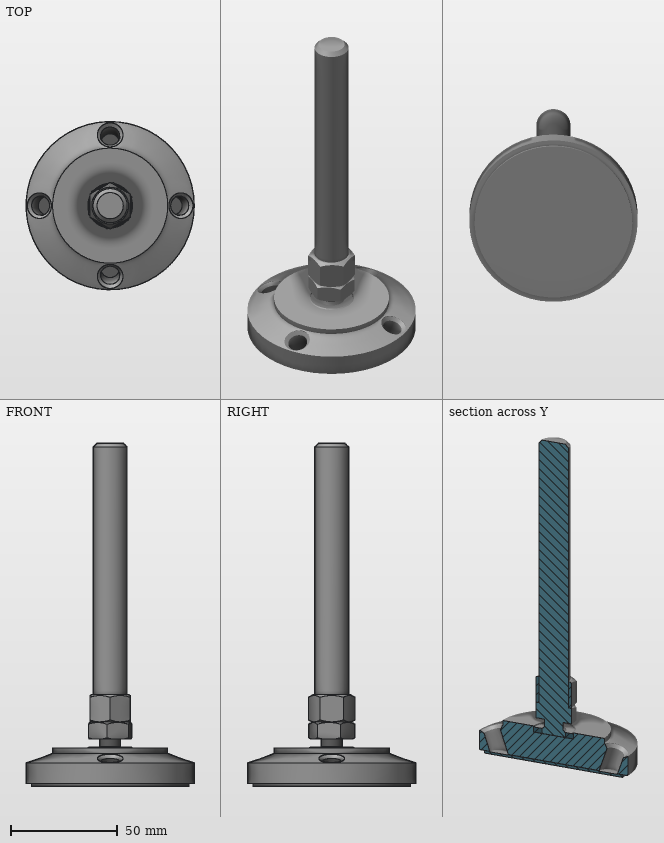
import cadquery as cq
import math

foot_diameter = 79
foot_bottom = 1.3
rim_top = 11
cone_top = 15.5
foot_top = 18.05
crown_diameter = 54
cone_width = (foot_diameter - crown_diameter) / 2
cone_angle = math.degrees(math.atan2(cone_top - rim_top, cone_width))

hole_count = 4
hole_diameter = 9
countersink_diameter = 12
countersink_rim_depth = 0.3
countersink_depth = countersink_rim_depth + (countersink_diameter - hole_diameter) / 2
hole_radius = (foot_diameter + crown_diameter) / 4
hole_height = (rim_top + cone_top) / 2
hole_length = 30

pad_diameter = 74

rod_diameter = 16
rod_top = 161.03
rod_tip_chamfer = 1.85
pin_diameter = 9.9
flare_diameter = 12.2
flare_top = 18.7
hex_bottom = 22.1
hex_height = 8
hex_turn = -8

ring_diameter = 21
ring_lip_diameter = 20
ring_lip_rise = 0.3
ring_bottom = foot_top - 3
ring_floor = flare_top - (flare_diameter - pin_diameter) / 2

nut_height = 13
nut_bottom = hex_bottom + hex_height
nut_top = nut_bottom + nut_height

across_flats = 19
corner_radius = across_flats / 2 / math.cos(math.radians(30))
chamfer_angle = 30
hex_bottom_face = 19.5
joint_face = 18.5
nut_top_face = 17.3


def cylinder(diameter, bottom, top):
    return cq.Workplane("XY").workplane(offset=bottom).circle(diameter / 2).extrude(top - bottom)


def revolved(points):
    """Solid of revolution about Z from an outline of (radius, height) points."""
    return cq.Workplane("XZ").polyline(points).close().revolve(360, (0, 0, 0), (0, 1, 0))


def chamfered_hex(bottom, top, bottom_face, top_face, turn=0):
    """Hexagon with corners on Y when turn is 0 and a conical chamfer at each end."""

    def chamfer_drop(face_diameter):
        return (corner_radius - face_diameter / 2) * math.tan(math.radians(chamfer_angle))

    prism = (
        cq.Workplane("XY")
        .workplane(offset=bottom)
        .polygon(6, 2 * corner_radius)
        .extrude(top - bottom)
        .rotate((0, 0, 0), (0, 0, 1), 90 + turn)
    )
    envelope = revolved([
        (0, bottom),
        (bottom_face / 2, bottom),
        (corner_radius, bottom + chamfer_drop(bottom_face)),
        (corner_radius, top - chamfer_drop(top_face)),
        (top_face / 2, top),
        (0, top),
    ])
    return prism.intersect(envelope)


def fixing_hole(angle):
    """Countersunk hole tilted square to the cone, at the given angle around Z."""
    bore = cylinder(hole_diameter, -hole_length, hole_length)
    sink = revolved([
        (0, -countersink_depth),
        (hole_diameter / 2, -countersink_depth),
        (countersink_diameter / 2, -countersink_rim_depth),
        (countersink_diameter / 2, hole_length),
        (0, hole_length),
    ])
    return (
        bore.union(sink)
        .rotate((0, 0, 0), (0, 1, 0), cone_angle)
        .translate((hole_radius, 0, hole_height))
        .rotate((0, 0, 0), (0, 0, 1), angle)
    )


foot = revolved([
    (0, foot_bottom),
    (foot_diameter / 2, foot_bottom),
    (foot_diameter / 2, rim_top),
    (crown_diameter / 2, cone_top),
    (crown_diameter / 2, foot_top),
    (0, foot_top),
])
for i in range(hole_count):
    foot = foot.cut(fixing_hole(i * 360 / hole_count))
foot = foot.cut(cylinder(ring_diameter, ring_bottom, foot_top))

pad = cylinder(pad_diameter, 0, foot_bottom)

ring = revolved([
    (flare_diameter / 2, ring_bottom),
    (ring_diameter / 2, ring_bottom),
    (ring_diameter / 2, foot_top),
    (ring_lip_diameter / 2, foot_top + ring_lip_rise),
    (ring_lip_diameter / 2, ring_floor),
    (flare_diameter / 2, ring_floor),
])

rod = cylinder(rod_diameter, nut_bottom, rod_top).faces(">Z").chamfer(rod_tip_chamfer)
pin = revolved([
    (0, ring_bottom),
    (flare_diameter / 2, ring_bottom),
    (flare_diameter / 2, ring_floor),
    (pin_diameter / 2, flare_top),
    (pin_diameter / 2, hex_bottom),
    (0, hex_bottom),
])
spindle_hex = chamfered_hex(hex_bottom, nut_bottom, hex_bottom_face, joint_face, hex_turn)
spindle = rod.union(spindle_hex).union(pin)

nut = chamfered_hex(nut_bottom, nut_top, joint_face, nut_top_face)
nut = nut.cut(cylinder(rod_diameter, nut_bottom, nut_top))

result = cq.Compound.makeCompound([foot.val(), pad.val(), ring.val(), spindle.val(), nut.val()])